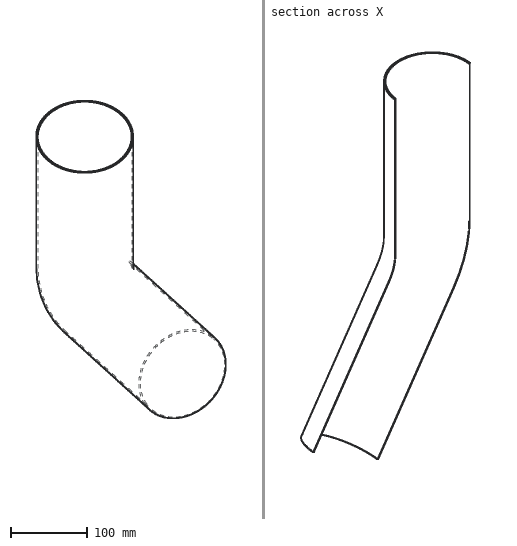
import cadquery as cq
import math

outer_diameter = 127.0
inner_diameter = 122.5
leg_length = 254.5
bend_radius = 138.0
bend_angle = 30

angle = math.radians(bend_angle)


def bend_point(turn):
    """Point on the bend centre line after turning through the given angle."""
    return (bend_radius * (1 - math.cos(turn)), -bend_radius * math.sin(turn))


bend_end = bend_point(angle)
lower_end = (
    bend_end[0] + leg_length * math.sin(angle),
    bend_end[1] - leg_length * math.cos(angle),
)
centre_line = (
    cq.Workplane("YZ")
    .moveTo(0, leg_length)
    .lineTo(0, 0)
    .threePointArc(bend_point(angle / 2), bend_end)
    .lineTo(*lower_end)
)

result = (
    cq.Workplane("XY")
    .workplane(offset=leg_length)
    .circle(outer_diameter / 2)
    .circle(inner_diameter / 2)
    .sweep(centre_line)
)